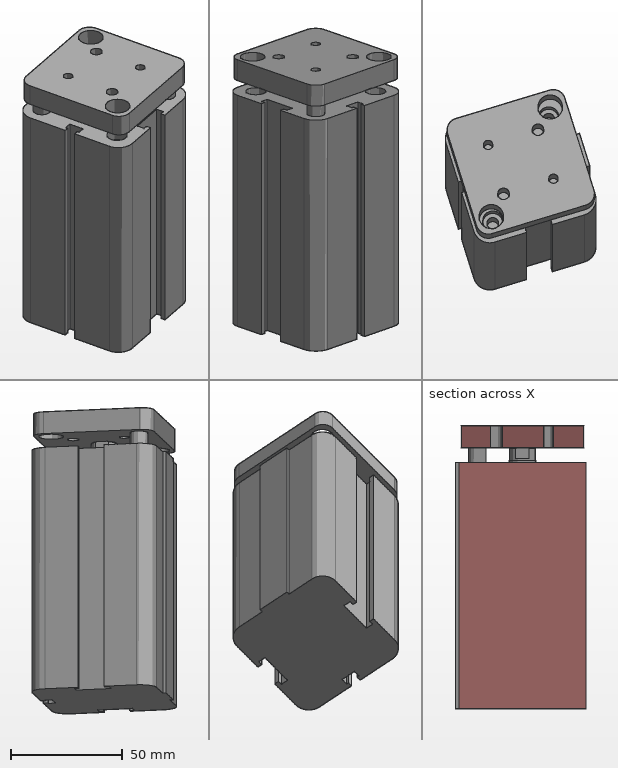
import cadquery as cq


housing_width = 57.0
housing_height = 110.5
housing_corner_radius = 7.5
rib_width = 15.5
rib_height = 1.5

slot_lip = 2.2
side_slot_opening = 12.0
side_slot_inner_width = 16.0
side_slot_depth = 5.7
front_slot_opening = 5.0
front_slot_inner_width = 7.0
front_slot_depth = 5.4

screw_offset = 19.0
screw_hole_diameter = 5.2
screw_head_diameter = 9.0
screw_head_depth = 5.5
screw_hole_depth = 15.0

plate_width = 55.0
plate_thickness = 10.0
plate_corner_radius = 5.5
stroke_gap = 6.5
guide_rod_diameter = 8.0
guide_rod_offset = 20.25
piston_collar_diameter = 12.0
piston_collar_height = 0.9
piston_rod_diameter = 11.7
piston_rod_chamfer = 0.3
wrench_flat_width = 10.0
wrench_flat_start = 1.75

access_hole_diameter = 11.0
access_hole_offset = 20.0
fixing_hole_offset = 11.7
clearance_hole_diameter = 5.2
threaded_hole_diameter = 4.2

plate_bottom = housing_height + stroke_gap


def mirrored_pair(offset):
    """Two points at the (-X, +Y) and (+X, -Y) corners."""
    return [(-offset, offset), (offset, -offset)]


def matching_pair(offset):
    """Two points at the (-X, -Y) and (+X, +Y) corners."""
    return [(-offset, -offset), (offset, offset)]


def rounded_block(width, height, corner_radius, bottom):
    block = cq.Workplane("XY").workplane(offset=bottom).rect(width, width).extrude(height)
    return block.edges("|Z").fillet(corner_radius)


def t_slot(opening, inner_width, depth, angle):
    """T-slot cutter for the -Y face, turned about Z by the given angle."""
    outer_y = -housing_width / 2
    neck = cq.Workplane("XY").box(opening, depth, housing_height, centered=(True, False, False))
    chamber_depth = depth - slot_lip
    chamber = cq.Workplane("XY").box(
        inner_width, chamber_depth, housing_height, centered=(True, False, False)
    )
    cutter = neck.union(chamber.translate((0, slot_lip, 0)))
    return cutter.translate((0, outer_y, 0)).rotate((0, 0, 0), (0, 0, 1), angle)


def make_housing():
    body = rounded_block(housing_width, housing_height, housing_corner_radius, 0)

    rib = cq.Workplane("XY").box(
        rib_width, housing_width / 2 + rib_height, housing_height, centered=(True, False, False)
    )
    body = body.union(rib)

    body = body.cut(t_slot(front_slot_opening, front_slot_inner_width, front_slot_depth, 0))
    for angle in (-90, 90):
        body = body.cut(t_slot(side_slot_opening, side_slot_inner_width, side_slot_depth, angle))

    top = body.faces(">Z").workplane(origin=(0, 0, housing_height))
    return top.pushPoints(mirrored_pair(screw_offset)).cboreHole(
        screw_hole_diameter, screw_head_diameter, screw_head_depth, screw_hole_depth
    )


def make_piston_rod():
    """Rod with a short collar at its foot and two wrench flats facing -X and +X."""
    base = cq.Workplane("XY").workplane(offset=housing_height)
    rod = base.circle(piston_rod_diameter / 2).extrude(stroke_gap)
    rod = rod.faces(">Z").chamfer(piston_rod_chamfer)
    collar = base.circle(piston_collar_diameter / 2).extrude(piston_collar_height)
    flat_height = stroke_gap - wrench_flat_start
    for side in (-1, 1):
        flat = cq.Workplane("XY").box(
            wrench_flat_width, piston_collar_diameter, flat_height, centered=(True, True, False)
        )
        rod = rod.cut(flat.translate((side * wrench_flat_width, 0, housing_height + wrench_flat_start)))
    return rod.union(collar)


def make_moving_unit():
    plate = rounded_block(plate_width, plate_thickness, plate_corner_radius, plate_bottom)
    hole_sets = [
        (access_hole_diameter, mirrored_pair(access_hole_offset)),
        (clearance_hole_diameter, mirrored_pair(fixing_hole_offset)),
        (threaded_hole_diameter, matching_pair(fixing_hole_offset)),
    ]
    for diameter, points in hole_sets:
        top = plate.faces(">Z").workplane(origin=(0, 0, plate_bottom + plate_thickness))
        plate = top.pushPoints(points).hole(diameter)

    guide_rods = (
        cq.Workplane("XY")
        .workplane(offset=housing_height)
        .pushPoints(matching_pair(guide_rod_offset))
        .circle(guide_rod_diameter / 2)
        .extrude(stroke_gap)
    )
    return plate.union(guide_rods).union(make_piston_rod())


housing = make_housing()
moving_unit = make_moving_unit()

result = cq.Compound.makeCompound([housing.val(), moving_unit.val()])